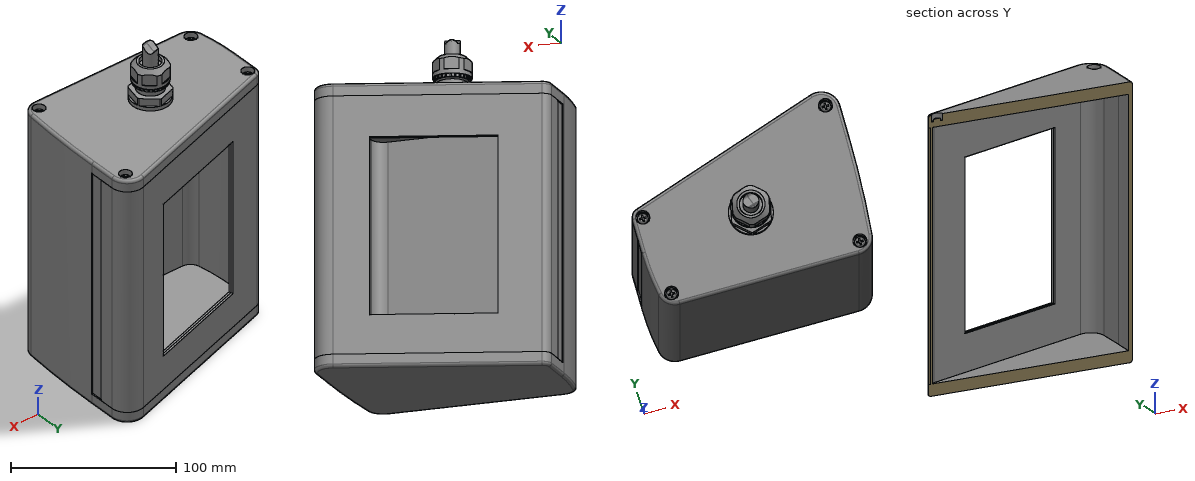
import cadquery as cq
import math

WIDTH = 140.0
DEPTH = 103.0
BODY_HEIGHT = 179.9
TOTAL_HEIGHT = 219.4
HALF_WIDTH = WIDTH / 2
FRONT_Y = -DEPTH / 2

BACK_SLOPE = 18.0
BACK_CORNER_LEFT_Y = 10.5
BACK_CORNER_RIGHT_Y = BACK_CORNER_LEFT_Y + WIDTH * math.tan(math.radians(BACK_SLOPE))
LEFT_FLAT_END_Y = -15.4
LEFT_BULGE_RADIUS = 144.8
RIGHT_FLAT_END_Y = 20.5
RIGHT_BULGE_RADIUS = 658.0
BACK_LEFT_RADIUS = 6.0
BACK_RIGHT_RADIUS = 11.8
FRONT_RADIUS = 11.0
RIM_RADIUS = 2.0

WALL = 3.0
END_WALL = 8.1
PANEL_THICKNESS = WALL / 2
PANEL_HEIGHT = BODY_HEIGHT - 2 * END_WALL
PANEL_WRAP = 15.0
RIGHT_WRAP = 26.8
FINGER_GAP = 9.2
FINGER_GAP_DEPTH = 0.9
WINDOW_LENGTH = 77.6
WINDOW_HEIGHT = 112.7
WINDOW_CENTRE_X = -3.5
WINDOW_CENTRE_Z = 89.3
WINDOW_CUT_DEPTH = 3 * WALL

SCREW_POSITIONS = [(-63.6, 5.7), (61.5, 42.1), (-59.7, -43.9), (58.8, -43.9)]
SCREW_HOLE_RADIUS = 4.2
SCREW_HOLE_DEPTH = 4.4
SCREW_HEAD_RADIUS = 3.3
SCREW_HEAD_HEIGHT = 1.8
SCREW_HEAD_ROUNDING = 0.9
CROSS_LENGTH = 4.0
CROSS_WIDTH = 0.9
CROSS_DEPTH = 0.9

GLAND_Y = -9.5
WASHER_RADIUS = 13.5
WASHER_TOP = 182.5
BASE_HEX_FLATS = 24.1
BASE_HEX_TOP = 187.8
NECK_RADIUS = 9.2
NECK_TOP = 191.5
KNURL_BOTTOM_RADIUS = 10.3
KNURL_RADIUS = 11.5
KNURL_BOTTOM = 192.4
KNURL_TOP = 194.3
KNURL_COUNT = 24
KNURL_GROOVE = 0.9
CAP_RADIUS = 12.0
CAP_HEX_FLATS = 22.4
CAP_RING_TOP = 197.2
CAP_SHOULDER = 204.2
CAP_TOP = 207.5
CAP_TOP_RADIUS = 8.5
CAP_BORE_RADIUS = 7.0
CAP_BORE_DEPTH = 3.0
CABLE_RADIUS = 4.8

BREAK_TURN = 15.0
BREAK_LOW_END_DROP = 1.5
BREAK_VALLEY = 2.2
BREAK_VALLEY_DROP = 3.5
BREAK_PEAK = -2.9
BREAK_HIGH_END_DROP = 0.9


def bulge_inset(radius, rise):
    """Sideways shift of an arc that leaves the Y direction and runs on for the given rise."""
    return radius - math.sqrt(radius**2 - rise**2)


def vertical_edge_near(solid, x, y):
    return solid.edges(cq.selectors.NearestToPointSelector((x, y, BODY_HEIGHT / 2)))


def outer_block():
    """Full-height prism of the plan outline, with rounded upright corners."""
    left_x = -HALF_WIDTH + bulge_inset(LEFT_BULGE_RADIUS, LEFT_FLAT_END_Y - FRONT_Y)
    right_x = HALF_WIDTH - bulge_inset(RIGHT_BULGE_RADIUS, RIGHT_FLAT_END_Y - FRONT_Y)
    block = (
        cq.Workplane("XY")
        .moveTo(-HALF_WIDTH, BACK_CORNER_LEFT_Y)
        .lineTo(-HALF_WIDTH, LEFT_FLAT_END_Y)
        .tangentArcPoint((left_x, FRONT_Y), relative=False)
        .lineTo(right_x, FRONT_Y)
        .radiusArc((HALF_WIDTH, RIGHT_FLAT_END_Y), -RIGHT_BULGE_RADIUS)
        .lineTo(HALF_WIDTH, BACK_CORNER_RIGHT_Y)
        .close()
        .extrude(BODY_HEIGHT)
    )
    corners = [
        (-HALF_WIDTH, BACK_CORNER_LEFT_Y, BACK_LEFT_RADIUS),
        (HALF_WIDTH, BACK_CORNER_RIGHT_Y, BACK_RIGHT_RADIUS),
        (left_x, FRONT_Y, FRONT_RADIUS),
        (right_x, FRONT_Y, FRONT_RADIUS),
    ]
    for x, y, radius in corners:
        block = vertical_edge_near(block, x, y).fillet(radius)
    return block


def inset_prism(block, inset):
    """Prism of the outline moved inwards, as high as the space between the end walls."""
    outline = block.faces("<Z").wires().vals()
    prism = cq.Workplane("XY").add(outline).toPending().offset2D(-inset).extrude(PANEL_HEIGHT)
    return prism.translate((0, 0, END_WALL))


def back_band(block, extra_wrap, thickness):
    """Skin of the given thickness over the back face and part of both sides."""
    left_end_y = BACK_CORNER_LEFT_Y - PANEL_WRAP - extra_wrap
    right_end_y = BACK_CORNER_RIGHT_Y - RIGHT_WRAP - extra_wrap
    reach = (
        cq.Workplane("XY", origin=(0, 0, END_WALL))
        .moveTo(-WIDTH, left_end_y)
        .lineTo(0, left_end_y)
        .lineTo(0, right_end_y)
        .lineTo(WIDTH, right_end_y)
        .lineTo(WIDTH, DEPTH)
        .lineTo(-WIDTH, DEPTH)
        .close()
        .extrude(PANEL_HEIGHT)
    )
    return block.intersect(reach).cut(inset_prism(block, thickness))


def window_cutter():
    """Block square to the back face that opens the window through panel and wall."""
    face_y = BACK_CORNER_LEFT_Y + (WINDOW_CENTRE_X + HALF_WIDTH) * math.tan(math.radians(BACK_SLOPE))
    return (
        cq.Workplane("XY")
        .box(WINDOW_LENGTH, 2 * WINDOW_CUT_DEPTH, WINDOW_HEIGHT)
        .rotate((0, 0, 0), (0, 0, 1), BACK_SLOPE)
        .translate((WINDOW_CENTRE_X, face_y, WINDOW_CENTRE_Z))
    )


def screw_hole():
    """Cutter for a screw hole in the top, leaving the cross-slotted head inside."""
    hole = cq.Workplane("XY").circle(SCREW_HOLE_RADIUS).extrude(SCREW_HOLE_DEPTH)
    head = (
        cq.Workplane("XY")
        .circle(SCREW_HEAD_RADIUS)
        .extrude(SCREW_HEAD_HEIGHT)
        .faces(">Z")
        .edges()
        .fillet(SCREW_HEAD_ROUNDING)
    )
    slots = (
        cq.Workplane("XY", origin=(0, 0, SCREW_HEAD_HEIGHT - CROSS_DEPTH))
        .rect(CROSS_LENGTH, CROSS_WIDTH)
        .extrude(CROSS_DEPTH)
        .union(
            cq.Workplane("XY", origin=(0, 0, SCREW_HEAD_HEIGHT - CROSS_DEPTH))
            .rect(CROSS_WIDTH, CROSS_LENGTH)
            .extrude(CROSS_DEPTH)
        )
    )
    return hole.cut(head.cut(slots))


def disc(radius, bottom, top):
    return cq.Workplane("XY", origin=(0, 0, bottom)).circle(radius).extrude(top - bottom)


def hexagon(flats, bottom, top):
    """Hexagonal prism with two flats parallel to the back face of the housing."""
    corner_diameter = flats / math.cos(math.pi / 6)
    return (
        cq.Workplane("XY", origin=(0, 0, bottom))
        .polygon(6, corner_diameter)
        .extrude(top - bottom)
        .rotate((0, 0, 0), (0, 0, 1), BACK_SLOPE)
    )


def cone(bottom_radius, top_radius, bottom, top):
    return cq.Workplane(cq.Solid.makeCone(bottom_radius, top_radius, top - bottom, cq.Vector(0, 0, bottom)))


def gland_base():
    """Sealing washer, base hexagon with turned-off corners, and neck."""
    washer = disc(WASHER_RADIUS, BODY_HEIGHT, WASHER_TOP)
    base_hex = hexagon(BASE_HEX_FLATS, WASHER_TOP, BASE_HEX_TOP).intersect(
        disc(WASHER_RADIUS, WASHER_TOP, BASE_HEX_TOP)
    )
    neck = disc(NECK_RADIUS, BASE_HEX_TOP, KNURL_BOTTOM)
    return washer.union(base_hex).union(neck)


def gland_knurl():
    """Flared ring under the cap, grooved all round."""
    ring = cone(NECK_RADIUS, KNURL_BOTTOM_RADIUS, NECK_TOP, KNURL_BOTTOM)
    ring = ring.union(disc(KNURL_RADIUS, KNURL_BOTTOM, KNURL_TOP))
    grooves = (
        cq.Workplane("XY", origin=(0, 0, KNURL_BOTTOM))
        .polarArray(KNURL_RADIUS, 0, 360, KNURL_COUNT)
        .rect(KNURL_GROOVE, KNURL_GROOVE)
        .extrude(KNURL_TOP - KNURL_BOTTOM)
    )
    return ring.cut(grooves)


def gland_cap():
    """Hexagonal cap with a round collar below, a conical top and an open bore."""
    collar = disc(CAP_RADIUS, KNURL_TOP, CAP_RING_TOP)
    turned_top = disc(CAP_RADIUS, CAP_RING_TOP, CAP_SHOULDER).union(
        cone(CAP_RADIUS, CAP_TOP_RADIUS, CAP_SHOULDER, CAP_TOP)
    )
    cap_hex = hexagon(CAP_HEX_FLATS, CAP_RING_TOP, CAP_TOP).intersect(turned_top)
    bore = disc(CAP_BORE_RADIUS, CAP_TOP - CAP_BORE_DEPTH, CAP_TOP)
    return collar.union(cap_hex).cut(bore)


def cable():
    """Cable stub whose broken end follows a wave across its width."""
    start = CAP_TOP - CAP_BORE_DEPTH
    wave = [
        (BREAK_VALLEY, TOTAL_HEIGHT - BREAK_VALLEY_DROP),
        (BREAK_PEAK, TOTAL_HEIGHT),
        (-CABLE_RADIUS, TOTAL_HEIGHT - BREAK_HIGH_END_DROP),
    ]
    side = (
        cq.Workplane("YZ")
        .moveTo(-CABLE_RADIUS, start)
        .lineTo(CABLE_RADIUS, start)
        .lineTo(CABLE_RADIUS, TOTAL_HEIGHT - BREAK_LOW_END_DROP)
        .spline(wave, includeCurrent=True)
        .close()
        .extrude(CABLE_RADIUS, both=True)
    )
    side = side.rotate((0, 0, 0), (0, 0, 1), BREAK_TURN)
    return disc(CABLE_RADIUS, start, TOTAL_HEIGHT).intersect(side)


def cable_entry():
    entry = gland_base().union(gland_knurl()).union(gland_cap()).union(cable())
    return entry.translate((0, GLAND_Y, 0))


def make_housing(block):
    """Hollow housing with recessed back, window, screws and cable entry."""
    housing = block.faces("<Z or >Z").edges().fillet(RIM_RADIUS)
    housing = housing.cut(back_band(block, 0, PANEL_THICKNESS))
    housing = housing.cut(back_band(block, FINGER_GAP, FINGER_GAP_DEPTH))
    housing = housing.cut(inset_prism(block, WALL)).cut(window_cutter())
    for x, y in SCREW_POSITIONS:
        housing = housing.cut(screw_hole().translate((x, y, BODY_HEIGHT - SCREW_HOLE_DEPTH)))
    return housing.union(cable_entry())


def make_back_panel(block):
    """Thin panel wrapped flush over the back face and round both back corners."""
    return back_band(block, 0, PANEL_THICKNESS).cut(window_cutter())


outline_block = outer_block()
housing = make_housing(outline_block)
back_panel = make_back_panel(outline_block)

result = cq.Compound.makeCompound([housing.solids().val(), back_panel.solids().val()])